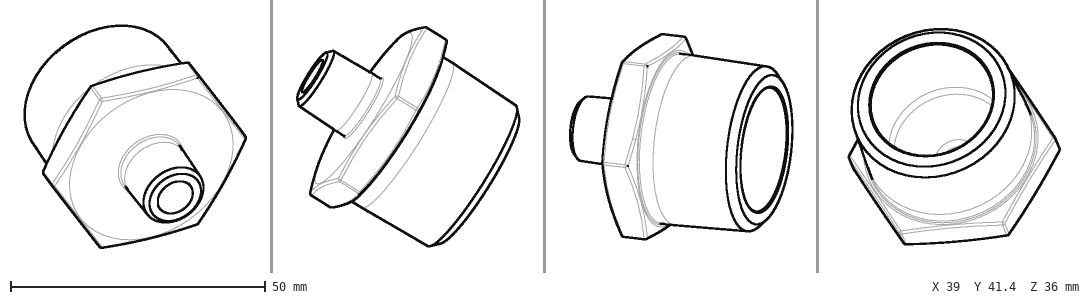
import cadquery as cq
import math

total_length = 39.0
large_cylinder_start = 16.8
hex_start = 19.95
hex_end = 26.95
small_taper_start = 29.28

large_diameter = 33.65
small_diameter = 13.38
thread_taper = 1 / 32
large_end_chamfer = 1.57
small_end_chamfer = 0.9
large_neck_fillet = 0.25
small_neck_fillet = 0.37

width_over_corners = 41.4
hex_edge_fillet = 0.55
spigot_overlap = 0.4
hex_chamfer_angle = 15
hex_face_radius = 17.48

bore_diameter = 24.5
bore_mouth_chamfer = 0.25
bore_depth = 19.88
bore_cone_half_angle = 50
through_diameter = 7.5
bore_cone_fillet = 2.05


def revolve_about_x(points):
    """Revolve a closed outline of (x, radius) points about the X axis."""
    return cq.Workplane("XY").polyline(points).close().revolve(360, (0, 0, 0), (1, 0, 0))


def make_hexagon():
    """Hexagon with flats facing +Z and -Z, coned at both ends, with rounded edges."""
    corner_trim = hex_edge_fillet * (1 / math.cos(math.pi / 6) - 1)
    corner_diameter = width_over_corners + 2 * corner_trim
    prism = (
        cq.Workplane("YZ", origin=(hex_start, 0, 0))
        .polygon(6, corner_diameter)
        .extrude(hex_end - hex_start)
    )
    cone_radius = corner_diameter
    seam_turn = 15
    slope = math.tan(math.radians(hex_chamfer_angle))
    cone_drop = (cone_radius - hex_face_radius) * slope
    coned_blank = revolve_about_x([
        (hex_start, 0),
        (hex_start, hex_face_radius),
        (hex_start + cone_drop, cone_radius),
        (hex_end - cone_drop, cone_radius),
        (hex_end, hex_face_radius),
        (hex_end, 0),
    ]).rotate((0, 0, 0), (1, 0, 0), seam_turn)
    hexagon = prism.intersect(coned_blank)
    return hexagon.faces("#X").edges().fillet(hex_edge_fillet)


def make_large_spigot():
    """Tapered male end with a short cylinder and a fillet against the hexagon."""
    radius = large_diameter / 2
    taper_end_radius = radius - (large_cylinder_start - large_end_chamfer) * thread_taper
    fillet = large_neck_fillet
    return (
        cq.Workplane("XY")
        .moveTo(0, 0)
        .lineTo(0, taper_end_radius - large_end_chamfer)
        .lineTo(large_end_chamfer, taper_end_radius)
        .lineTo(large_cylinder_start, radius)
        .lineTo(hex_start - fillet, radius)
        .radiusArc((hex_start, radius + fillet), -fillet)
        .lineTo(hex_start + spigot_overlap, radius + fillet)
        .lineTo(hex_start + spigot_overlap, 0)
        .close()
        .revolve(360, (0, 0, 0), (1, 0, 0))
    )


def make_small_spigot():
    """Smaller tapered male end, also filleted against the hexagon."""
    radius = small_diameter / 2
    chamfer_start = total_length - small_end_chamfer
    taper_end_radius = radius - (chamfer_start - small_taper_start) * thread_taper
    fillet = small_neck_fillet
    return (
        cq.Workplane("XY")
        .moveTo(hex_end - spigot_overlap, 0)
        .lineTo(hex_end - spigot_overlap, radius + fillet)
        .lineTo(hex_end, radius + fillet)
        .radiusArc((hex_end + fillet, radius), -fillet)
        .lineTo(small_taper_start, radius)
        .lineTo(chamfer_start, taper_end_radius)
        .lineTo(total_length, taper_end_radius - small_end_chamfer)
        .lineTo(total_length, 0)
        .close()
        .revolve(360, (0, 0, 0), (1, 0, 0))
    )


def make_bore():
    """Wide bore, conical bottom and narrow through hole, as a solid to cut away."""
    bore_radius = bore_diameter / 2
    through_radius = through_diameter / 2
    cone_length = (bore_radius - through_radius) / math.tan(math.radians(bore_cone_half_angle))
    bore = revolve_about_x([
        (0, 0),
        (0, bore_radius + bore_mouth_chamfer),
        (bore_mouth_chamfer, bore_radius),
        (bore_depth, bore_radius),
        (bore_depth + cone_length, through_radius),
        (total_length, through_radius),
        (total_length, 0),
    ])
    select_margin = 0.4
    cone_ends = cq.selectors.BoxSelector(
        (bore_depth - select_margin, -bore_diameter, -bore_diameter),
        (bore_depth + cone_length + select_margin, bore_diameter, bore_diameter),
        boundingbox=True,
    )
    return bore.edges(cone_ends).fillet(bore_cone_fillet)


body = make_hexagon().union(make_large_spigot()).union(make_small_spigot())
result = body.cut(make_bore())